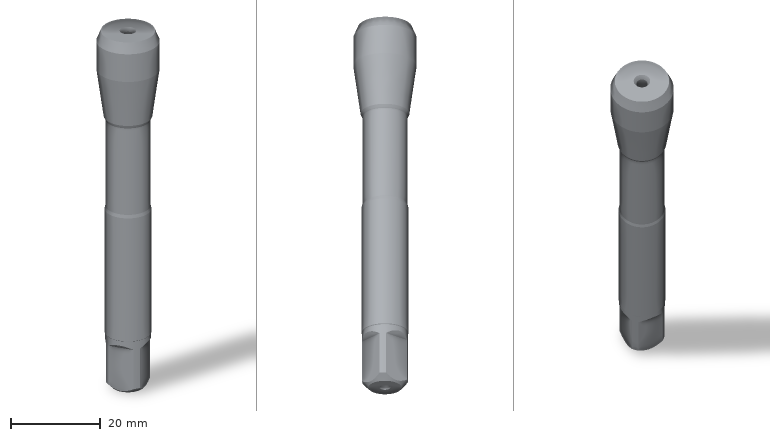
import cadquery as cq

length = 88.0
head_diameter = 14.2
head_top_diameter = 12.1
taper_end_diameter = 10.9
neck_diameter = 10.1
shank_diameter = 10.5
drive_diameter = 10.2

head_chamfer_depth = 2.5
taper_start_depth = 9.3
taper_end_depth = 21.0
neck_start_depth = 21.8
neck_end_depth = 43.3
shank_start_depth = 44.1
shank_end_depth = 74.6

shank_end_chamfer = (shank_diameter - drive_diameter) / 2
square_width = 8.2
square_height = 11.1
end_chamfer = 1.4

bore_diameter = 2.5
countersink_diameter = 3.7
countersink_depth = 0.9


def make_body():
    """Revolve the stepped outline, from the lower end to the head."""
    outline = [
        (0, 0),
        (drive_diameter / 2 - end_chamfer, 0),
        (drive_diameter / 2, end_chamfer),
        (drive_diameter / 2, length - shank_end_depth - shank_end_chamfer),
        (shank_diameter / 2, length - shank_end_depth),
        (shank_diameter / 2, length - shank_start_depth),
        (neck_diameter / 2, length - neck_end_depth),
        (neck_diameter / 2, length - neck_start_depth),
        (taper_end_diameter / 2, length - taper_end_depth),
        (head_diameter / 2, length - taper_start_depth),
        (head_diameter / 2, length - head_chamfer_depth),
        (head_top_diameter / 2, length),
        (0, length),
    ]
    return cq.Workplane("XZ").polyline(outline).close().revolve(360, (0, 0), (0, 1))


def make_flat_cutter():
    """Material removed beside one flat, with a 45 degree run-out at its upper end."""
    flat_offset = square_width / 2
    reach = shank_diameter
    profile = [
        (flat_offset, 0),
        (reach, 0),
        (reach, square_height + reach - flat_offset),
        (flat_offset, square_height),
    ]
    return cq.Workplane("XZ").polyline(profile).close().extrude(shank_diameter, both=True)


def make_bore():
    """Through bore with a conical mouth in the top face."""
    outline = [
        (0, 0),
        (bore_diameter / 2, 0),
        (bore_diameter / 2, length - countersink_depth),
        (countersink_diameter / 2, length),
        (0, length),
    ]
    return cq.Workplane("XZ").polyline(outline).close().revolve(360, (0, 0), (0, 1))


result = make_body().cut(make_bore())
flat_count = 4
for index in range(flat_count):
    angle = index * 360 / flat_count
    result = result.cut(make_flat_cutter().rotate((0, 0, 0), (0, 0, 1), angle))